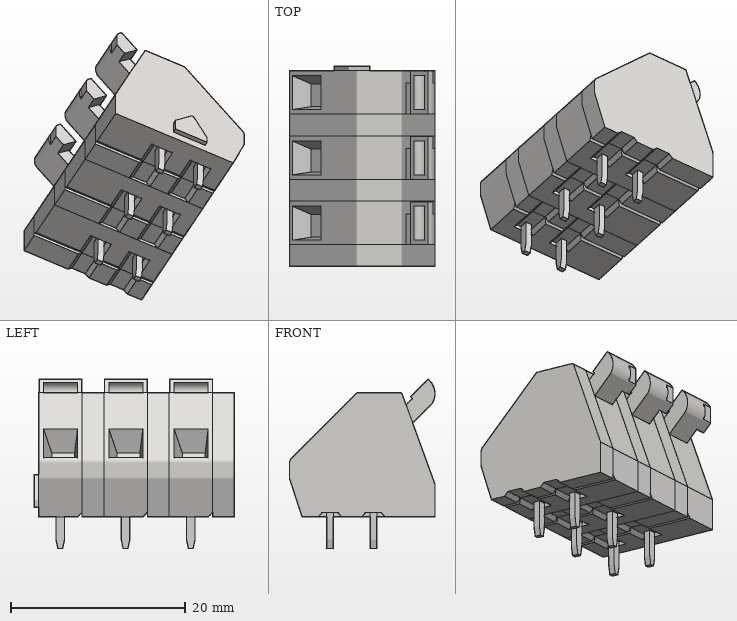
import cadquery as cq
import math


OVERALL_LENGTH = 23.0
POLE_COUNT = 3
MODULE_WIDTH = 5.0
SPACER_WIDTH = 2.5
PITCH = MODULE_WIDTH + SPACER_WIDTH
POLE_CENTRE = MODULE_WIDTH / 2

DEPTH = 16.75
HEIGHT = 14.25
TOE_X = 1.45
NOSE_LOW_Z = 4.42
NOSE_HIGH_Z = 6.49
ROOF_START_X = HEIGHT - NOSE_HIGH_Z
ROOF_END_X = 12.9
BACK_Z = 3.73
NOSE_FILLET = 0.8
ROOF_START_FILLET = 0.25
ROOF_END_FILLET = 0.2

PIN_SPACING = 5.0
FIRST_PIN_X = 4.67
PIN_XS = (FIRST_PIN_X, FIRST_PIN_X + PIN_SPACING)
PIN_THICKNESS = 0.75
PIN_WIDTH = 1.01
PIN_TIP_WIDTH = 0.55
PIN_LENGTH = 3.65
PIN_TAPER_LENGTH = 1.04
NOTCH_HEIGHT = 0.48
NOTCH_TOP_WIDTH = 1.75
NOTCH_BASE_WIDTH = NOTCH_TOP_WIDTH + 2 * NOTCH_HEIGHT
MODULE_NOTCH_DEPTH = POLE_CENTRE + PIN_WIDTH / 2
UNDERSIDE_CHAMFER = 0.48

FUNNEL_DEPTH = 2.6
MOUTH_START = 0.48
MOUTH_LENGTH = 4.65
FLOOR_START = 0.95
FLOOR_LENGTH = 2.83
MOUTH_Y = 0.5
MOUTH_WIDTH = 3.9
FLOOR_Y = 0.85
FLOOR_WIDTH = 2.62

LEVER_TIP_X = 15.95
LEVER_TIP_Z = 15.82
HEAD_LENGTH = 2.88
HEAD_WIDTH = 4.92
STEM_WIDTH = 3.55
STEM_STEP = 0.3
LEVER_THICKNESS = 2.32
TIP_FLAT = 0.23
TIP_RADIUS = 2.16
TIP_ARC_ANGLE = math.asin((LEVER_THICKNESS - TIP_FLAT) / TIP_RADIUS)
OVERHANG_END_X = 16.51
STEM_REACH = 5.52
THUMB_MARGIN_Y = 0.5
THUMB_WIDTH = 3.9
THUMB_LENGTH = 1.72
THUMB_START = 0.58
THUMB_WALL = 0.37
THUMB_DEPTH = 1.2

BOSS_LENGTH = OVERALL_LENGTH - POLE_COUNT * PITCH
BOSS_START_X = 5.13
BOSS_END_X = 9.25
BOSS_BOTTOM_Z = 1.08
BOSS_SHOULDER_Z = 1.93
BOSS_PEAK_X = 6.97
BOSS_PEAK_Z = 5.0
BOSS_CORNER_Z = BOSS_PEAK_Z - (BOSS_END_X - BOSS_PEAK_X)
BOSS_FILLET = 0.25


def prism(points, y_start, length):
    """Extrude an XZ polygon along +Y."""
    plane = cq.Workplane("XZ", origin=(0, y_start, 0))
    return plane.polyline(points).close().extrude(-length)


def round_edge(body, x, y, z, radius):
    """Fillet the edge whose middle lies nearest to a point."""
    return body.edges(cq.NearestToPointSelector((x, y, z))).fillet(radius)


def housing_slice(width):
    """A slice of the housing profile from Y = 0, with its rounded corners."""
    body = prism(
        [
            (TOE_X, 0),
            (DEPTH, 0),
            (DEPTH, BACK_Z),
            (ROOF_END_X, HEIGHT),
            (ROOF_START_X, HEIGHT),
            (0, NOSE_HIGH_Z),
            (0, NOSE_LOW_Z),
        ],
        0,
        width,
    )
    middle = width / 2
    body = round_edge(body, 0, middle, NOSE_LOW_Z, NOSE_FILLET)
    body = round_edge(body, 0, middle, NOSE_HIGH_Z, NOSE_FILLET)
    body = round_edge(body, ROOF_START_X, middle, HEIGHT, ROOF_START_FILLET)
    return round_edge(body, ROOF_END_X, middle, HEIGHT, ROOF_END_FILLET)


def cut_pin_notches(body, depth):
    """Cut a trapezoidal notch into the underside at each pin, from Y = 0 inwards."""
    for x in PIN_XS:
        notch = prism(
            [
                (x - NOTCH_BASE_WIDTH / 2, 0),
                (x + NOTCH_BASE_WIDTH / 2, 0),
                (x + NOTCH_TOP_WIDTH / 2, NOTCH_HEIGHT),
                (x - NOTCH_TOP_WIDTH / 2, NOTCH_HEIGHT),
            ],
            0,
            depth,
        )
        body = body.cut(notch)
    return body


def pin(x):
    """A flat solder pin with a tapered tip, hanging from the notch roof."""
    half_width = PIN_WIDTH / 2
    half_tip = PIN_TIP_WIDTH / 2
    taper_z = PIN_TAPER_LENGTH - PIN_LENGTH
    return (
        cq.Workplane("YZ", origin=(x - PIN_THICKNESS / 2, POLE_CENTRE, 0))
        .polyline(
            [
                (-half_width, NOTCH_HEIGHT),
                (-half_width, taper_z),
                (-half_tip, -PIN_LENGTH),
                (half_tip, -PIN_LENGTH),
                (half_width, taper_z),
                (half_width, NOTCH_HEIGHT),
            ]
        )
        .close()
        .extrude(PIN_THICKNESS)
    )


def wire_funnel():
    """The tapered pocket, as a solid: local x runs up the 45-degree face, local y along Y."""
    mouth_middle = MOUTH_START + MOUTH_LENGTH / 2
    floor_middle = FLOOR_START + FLOOR_LENGTH / 2
    mouth_middle_y = MOUTH_Y + MOUTH_WIDTH / 2
    floor_middle_y = FLOOR_Y + FLOOR_WIDTH / 2
    face = cq.Plane(origin=(0, 0, NOSE_HIGH_Z), xDir=(1, 0, 1), normal=(-1, 0, 1))
    return (
        cq.Workplane(face)
        .center(mouth_middle, mouth_middle_y)
        .rect(MOUTH_LENGTH, MOUTH_WIDTH)
        .workplane(offset=-FUNNEL_DEPTH)
        .center(floor_middle - mouth_middle, floor_middle_y - mouth_middle_y)
        .rect(FLOOR_LENGTH, FLOOR_WIDTH)
        .loft(ruled=True)
    )


def lever_plane(y):
    """Sketch plane at the lever tip: local x runs down the lever, local y into its thickness."""
    return cq.Workplane(
        cq.Plane(origin=(LEVER_TIP_X, y, LEVER_TIP_Z), xDir=(-1, 0, -1), normal=(0, -1, 0))
    )


def tip_arc_point(angle):
    """Point on the rounded lever tip, whose arc starts tangent to the flat end of the tip."""
    return (TIP_RADIUS * (1 - math.cos(angle)), TIP_FLAT + TIP_RADIUS * math.sin(angle))


def lever():
    """The stem with its thumb head, which overhangs the narrower stem on the +Y side."""
    lever_profile = (
        lever_plane(0)
        .lineTo(0, TIP_FLAT)
        .threePointArc(tip_arc_point(TIP_ARC_ANGLE / 2), tip_arc_point(TIP_ARC_ANGLE))
        .lineTo(STEM_REACH, LEVER_THICKNESS)
        .lineTo(STEM_REACH, STEM_STEP)
        .lineTo(HEAD_LENGTH, STEM_STEP)
        .lineTo(HEAD_LENGTH, 0)
        .close()
    )
    full_width = lever_profile.extrude(-HEAD_WIDTH)
    clearance_width = HEAD_WIDTH - STEM_WIDTH
    stem_clearance = (
        lever_plane(STEM_WIDTH)
        .moveTo(HEAD_LENGTH, 0)
        .lineTo(STEM_REACH, 0)
        .lineTo(STEM_REACH, LEVER_THICKNESS)
        .lineTo(HEAD_LENGTH, LEVER_THICKNESS)
        .close()
        .extrude(-clearance_width)
    )
    end_clearance = (
        cq.Workplane("XY", origin=(OVERHANG_END_X, STEM_WIDTH, 0))
        .box(DEPTH - OVERHANG_END_X, clearance_width, LEVER_TIP_Z, centered=False)
    )

    thumb_end = THUMB_START + THUMB_LENGTH
    thumb_middle = THUMB_START + THUMB_LENGTH / 2
    thumb_recess = (
        lever_plane(THUMB_MARGIN_Y)
        .moveTo(THUMB_START, 0)
        .lineTo(thumb_end, 0)
        .lineTo(thumb_end, THUMB_WALL)
        .threePointArc((thumb_middle, THUMB_DEPTH), (THUMB_START, THUMB_WALL))
        .close()
        .extrude(-THUMB_WIDTH)
    )
    return full_width.cut(stem_clearance).cut(end_clearance).cut(thumb_recess)


def coupling_boss():
    """The low boss on the +Y face of a module."""
    boss = prism(
        [
            (BOSS_START_X, BOSS_BOTTOM_Z),
            (BOSS_END_X, BOSS_BOTTOM_Z),
            (BOSS_END_X, BOSS_CORNER_Z),
            (BOSS_PEAK_X, BOSS_PEAK_Z),
            (BOSS_START_X, BOSS_SHOULDER_Z),
        ],
        MODULE_WIDTH,
        BOSS_LENGTH,
    )
    boss_middle = MODULE_WIDTH + BOSS_LENGTH / 2
    boss = round_edge(boss, BOSS_START_X, boss_middle, BOSS_SHOULDER_Z, BOSS_FILLET)
    boss = round_edge(boss, BOSS_PEAK_X, boss_middle, BOSS_PEAK_Z, BOSS_FILLET)
    return round_edge(boss, BOSS_END_X, boss_middle, BOSS_CORNER_Z, BOSS_FILLET)


def spacer():
    """A narrow housing slice, notched right through."""
    return cut_pin_notches(housing_slice(SPACER_WIDTH), SPACER_WIDTH)


def pole_module():
    """A wide housing slice with its two pins, lever and wire funnel."""
    body = housing_slice(MODULE_WIDTH)
    body = body.faces("<Y").edges("<Z").chamfer(UNDERSIDE_CHAMFER)
    body = cut_pin_notches(body, MODULE_NOTCH_DEPTH)
    for x in PIN_XS:
        body = body.union(pin(x))
    return body.union(lever()).cut(wire_funnel())


spacers = []
modules = []
for index in range(POLE_COUNT):
    spacer_y = index * PITCH
    spacers.append(spacer().translate((0, spacer_y, 0)))
    module = pole_module()
    if index == POLE_COUNT - 1:
        module = module.union(coupling_boss())
    modules.append(module.translate((0, spacer_y + SPACER_WIDTH, 0)))

result = cq.Compound.makeCompound([body.val() for body in spacers + modules])